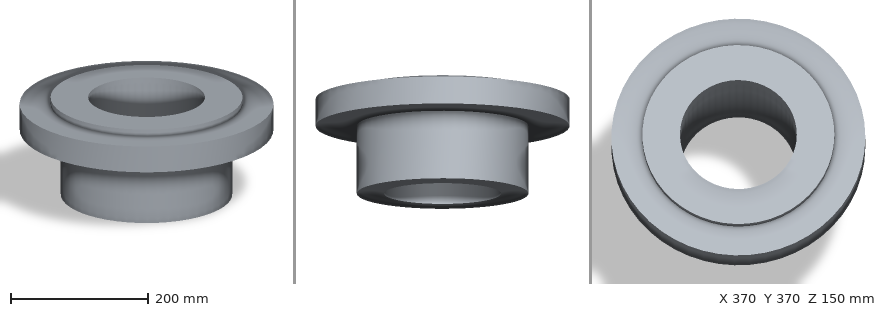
import cadquery as cq

flange_diameter = 370.0
flange_thickness = 40.0
raised_face_diameter = 279.7
raised_face_height = 10.0
hub_diameter = 250.0
hub_length = 100.0
bore_diameter = 170.2

total_height = hub_length + flange_thickness + raised_face_height


def disc(diameter, height, base_z):
    """Upright cylinder on the Z axis, standing on base_z."""
    return cq.Workplane("XY").workplane(offset=base_z).circle(diameter / 2).extrude(height)


hub = disc(hub_diameter, hub_length, 0)
flange = disc(flange_diameter, flange_thickness, hub_length)
raised_face = disc(raised_face_diameter, raised_face_height, hub_length + flange_thickness)

bore = disc(bore_diameter, total_height, 0)

result = hub.union(flange).union(raised_face).cut(bore)